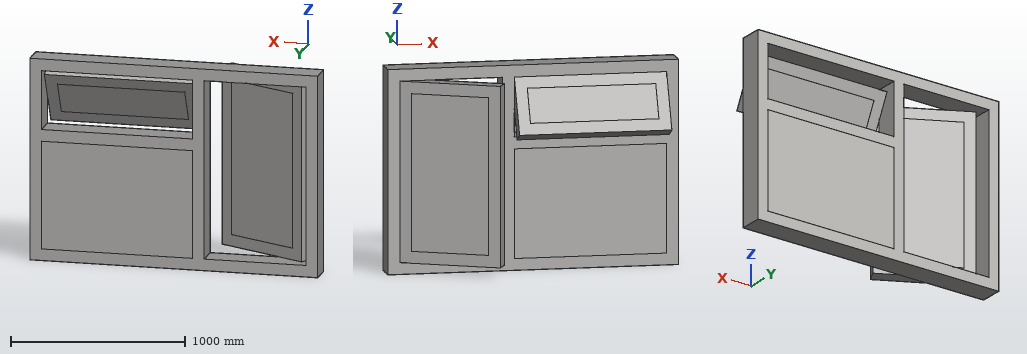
import cadquery as cq

FRAME_WIDTH = 1700.0
FRAME_HEIGHT = 1200.0
FRAME_DEPTH = 150.0
BAR_WIDTH = 70.0

CASEMENT_WIDTH = 600.0
FIXED_HEIGHT = 641.0
CASEMENT_HEIGHT = FRAME_HEIGHT - 2 * BAR_WIDTH
RIGHT_OPENING_X = CASEMENT_WIDTH + 2 * BAR_WIDTH
RIGHT_OPENING_WIDTH = FRAME_WIDTH - BAR_WIDTH - RIGHT_OPENING_X
AWNING_Z = FIXED_HEIGHT + 2 * BAR_WIDTH
AWNING_HEIGHT = FRAME_HEIGHT - BAR_WIDTH - AWNING_Z

SASH_DEPTH = 90.0
SASH_BORDER = 70.0
OPEN_ANGLE = 27.0


def panel(x, z, width, height, depth):
    """Upright panel with its front face on y = 0 and its lower left corner at (x, z)."""
    return cq.Workplane("XY").box(width, depth, height, centered=False).translate((x, 0, z))


def glass_pane(x, z, width, height):
    """Glass inside the border of a closed sash of the given outer size."""
    return panel(
        x + SASH_BORDER,
        z + SASH_BORDER,
        width - 2 * SASH_BORDER,
        height - 2 * SASH_BORDER,
        SASH_DEPTH,
    )


def sash(x, z, width, height):
    """Closed sash with a through opening that its glass fills."""
    return panel(x, z, width, height, SASH_DEPTH).cut(glass_pane(x, z, width, height))


def swing_casement(body):
    """Open a body outwards about the front left vertical edge of the casement opening."""
    return body.rotate((BAR_WIDTH, 0, 0), (BAR_WIDTH, 0, 1), -OPEN_ANGLE)


def swing_awning(body):
    """Open a body outwards about the front top edge of the awning opening."""
    hinge_z = AWNING_Z + AWNING_HEIGHT
    return body.rotate((0, 0, hinge_z), (1, 0, hinge_z), -OPEN_ANGLE)


casement_opening = (BAR_WIDTH, BAR_WIDTH, CASEMENT_WIDTH, CASEMENT_HEIGHT)
awning_opening = (RIGHT_OPENING_X, AWNING_Z, RIGHT_OPENING_WIDTH, AWNING_HEIGHT)
fixed_opening = (RIGHT_OPENING_X, BAR_WIDTH, RIGHT_OPENING_WIDTH, FIXED_HEIGHT)

frame = panel(0, 0, FRAME_WIDTH, FRAME_HEIGHT, FRAME_DEPTH)
for opening in (casement_opening, awning_opening, fixed_opening):
    frame = frame.cut(panel(*opening, FRAME_DEPTH))

fixed_glass = panel(*fixed_opening, FRAME_DEPTH)

casement_sash = swing_casement(sash(*casement_opening))
casement_glass = swing_casement(glass_pane(*casement_opening))

awning_sash = swing_awning(sash(*awning_opening))
awning_glass = swing_awning(glass_pane(*awning_opening))

result = cq.Compound.makeCompound([
    frame.val(),
    fixed_glass.val(),
    casement_sash.val(),
    casement_glass.val(),
    awning_sash.val(),
    awning_glass.val(),
])